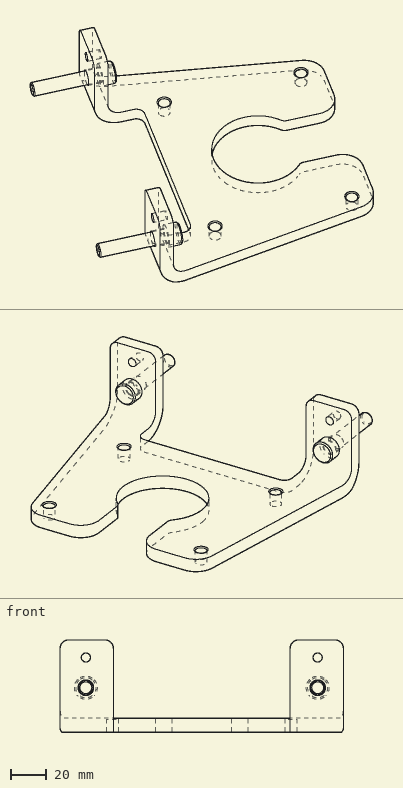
import cadquery as cq
import math

overall_width = 159.0
overall_length = 166
plate_length = 134.0
plate_thickness = 8.0
inner_bend_radius = 8.0
outer_bend_radius = inner_bend_radius + plate_thickness
side_taper_degrees = 10
tip_corner_radius = 12.0

tab_height = 52.0
tab_width = 30.0
tab_corner_radius = 5.0
tab_hole_diameter = 5.0
tab_hole_height = 42.0

notch_depth = 28.0
notch_width = overall_width - 2 * tab_width
notch_corner_radius = 5.0

bore_diameter = 52.0
bore_center_y = 81.0
slot_width = 33.4
slot_mouth_radius = 4.0

plate_hole_diameter = 6.6
plate_hole_rim_diameter = 8.0
rim_chamfer_angle = 90
plate_hole_spacing_x = 100.0
plate_hole_spacing_y = 80.0

screw_spacing = 130.0
screw_height = 25.0
screw_diameter = 8.0
screw_clearance_diameter = 8.8
screw_tip_diameter = 6.6
screw_tip_chamfer = (screw_diameter - screw_tip_diameter) / 2
screw_reach = overall_length - plate_length
screw_head_diameter = 13.0
screw_head_height = 8.0
screw_head_chamfer = 0.8
screw_positions = [-screw_spacing / 2, screw_spacing / 2]

selection_margin = 1.7


def bent_strip():
    """L-shaped strip over the full width, rounded inside and outside the bend."""
    return (
        cq.Workplane("YZ")
        .moveTo(0, tab_height)
        .lineTo(0, outer_bend_radius)
        .radiusArc((outer_bend_radius, 0), -outer_bend_radius)
        .lineTo(plate_length, 0)
        .lineTo(plate_length, plate_thickness)
        .lineTo(outer_bend_radius, plate_thickness)
        .radiusArc((plate_thickness, outer_bend_radius), inner_bend_radius)
        .lineTo(plate_thickness, tab_height)
        .close()
        .extrude(overall_width / 2, both=True)
    )


def plan_blank():
    """Tapered plan outline with the slot and the notch, as tall as the tabs."""
    half_width = overall_width / 2
    taper_run = plate_length - plate_thickness
    half_tip_width = half_width - taper_run * math.tan(math.radians(side_taper_degrees))
    right_side = [
        (slot_width / 2, bore_center_y),
        (slot_width / 2, plate_length),
        (half_tip_width, plate_length),
        (half_width, plate_thickness),
        (half_width, 0),
        (notch_width / 2, 0),
        (notch_width / 2, notch_depth),
    ]
    left_side = [(-x, y) for x, y in reversed(right_side)]
    blank = cq.Workplane("XY").polyline(right_side + left_side).close().extrude(tab_height)
    blank = blank.faces(">Y").edges("|Z").fillet(tip_corner_radius)
    notch_end = cq.selectors.BoxSelector(
        (-overall_width, notch_depth - selection_margin, -selection_margin),
        (overall_width, notch_depth + selection_margin, tab_height + selection_margin),
    )
    return blank.edges("|Z").edges(notch_end).fillet(notch_corner_radius)


def bore_cutter():
    """Disc that opens the round end of the keyhole."""
    return (
        cq.Workplane("XY")
        .center(0, bore_center_y)
        .circle(bore_diameter / 2)
        .extrude(plate_thickness)
    )


def round_slot_mouth(bracket):
    """Round the two upright edges where the slot opens into the bore."""
    mouth_y = bore_center_y + math.sqrt(bore_diameter**2 - slot_width**2) / 2
    mouth_edges = cq.selectors.BoxSelector(
        (-slot_width, mouth_y - selection_margin, -selection_margin),
        (slot_width, mouth_y + selection_margin, plate_thickness + selection_margin),
    )
    return bracket.edges("|Z").edges(mouth_edges).fillet(slot_mouth_radius)


def drill_plate_holes(bracket):
    """Through holes with a chamfer at the upper rim."""
    return (
        bracket.copyWorkplane(cq.Workplane("XY", origin=(0, bore_center_y, plate_thickness)))
        .rarray(plate_hole_spacing_x, plate_hole_spacing_y, 2, 2)
        .cskHole(plate_hole_diameter, plate_hole_rim_diameter, rim_chamfer_angle)
    )


def tab_hole_cutter(x, z, diameter):
    """Cylinder along Y through the thickness of a tab."""
    return (
        cq.Workplane("XZ")
        .center(x, z)
        .circle(diameter / 2)
        .extrude(-plate_thickness)
    )


def make_bracket():
    """Bent plate with the keyhole, the four plate holes and two holes in each tab."""
    bracket = bent_strip().intersect(plan_blank())
    bracket = bracket.faces(">Z").edges("|Y").fillet(tab_corner_radius)
    bracket = bracket.cut(bore_cutter())
    bracket = round_slot_mouth(bracket)
    bracket = drill_plate_holes(bracket)
    for x in screw_positions:
        bracket = bracket.cut(tab_hole_cutter(x, tab_hole_height, tab_hole_diameter))
        bracket = bracket.cut(tab_hole_cutter(x, screw_height, screw_clearance_diameter))
    return bracket


def make_screw(x):
    """Cap screw along Y, its head seated on the inner face of a tab."""
    seat = cq.Workplane("XZ", origin=(x, plate_thickness, screw_height))
    shank = seat.circle(screw_diameter / 2).extrude(plate_thickness + screw_reach)
    shank = shank.faces("<Y").chamfer(screw_tip_chamfer)
    head = seat.circle(screw_head_diameter / 2).extrude(-screw_head_height)
    head = head.faces(">Y").chamfer(screw_head_chamfer)
    return head.union(shank)


bracket = make_bracket()
screws = [make_screw(x) for x in screw_positions]

result = cq.Compound.makeCompound([bracket.val(), *[screw.val() for screw in screws]])